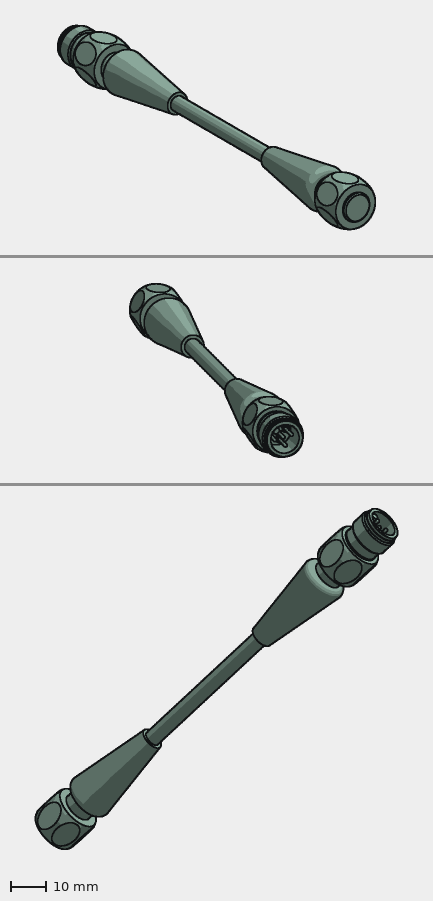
import cadquery as cq
import math

total_length = 145.6
nut_start = 10.2
nut_length = 10.8
neck_length = 3.5
grip_length = 29.0
socket_tip_length = 1.0

nut_flats = 14.0
nut_crown_radius = 7.7
nut_end_radius = 13.4 / 2
nut_rim_radius = 14.1 / 2
nut_chamfer_length = 0.9

neck_radius = 4.4
grip_large_radius = 7.1
grip_small_radius = 3.3
grip_round = 1.9
cable_radius = 2.3

sleeve_tip_radius = 10.5 / 2
sleeve_tip_end = 1.0
sleeve_ring_radius = 10.9 / 2
sleeve_ring_end = 1.9
thread_radius = 12.0 / 2
thread_end = 6.8
thread_chamfer = 0.5
relief_radius = 10.8 / 2
relief_end = 9.8
bore_radius = 8.3 / 2
bore_depth = 9.0

pin_radius = 1.0 / 2
pin_circle_radius = 2.5
pin_setback = 1.5
pin_tip_round = 0.3
pin_collar_radius = 2.0 / 2
pin_collar_height = 0.7
outer_pin_count = 4
first_pin_angle = 75

key_radius = 2.0 / 2
key_center_radius = 3.3
key_angle = 45
key_setback = 1.0

socket_chamfer = 0.5

nut_end = nut_start + nut_length
grip_start = nut_end + neck_length
grip_end = grip_start + grip_length
mid_x = (nut_start + total_length - socket_tip_length) / 2


def cylinder_x(start, end, radius, y=0.0, z=0.0):
    """Solid cylinder parallel to X between two X positions."""
    return cq.Workplane("YZ", origin=(start, y, z)).circle(radius).extrude(end - start)


def polar_yz(radius, angle):
    """Y and Z of a point at a radius and an angle in degrees from +Y towards +Z."""
    turn = math.radians(angle)
    return radius * math.cos(turn), radius * math.sin(turn)


def revolve_x(profile):
    """Revolve a closed profile, drawn with radius along Y, about the X axis."""
    return profile.close().revolve(360, (0, 0, 0), (1, 0, 0))


def coupling_nut():
    """Hexagon, flats up and down, trimmed by a barrel with a chamfer at each end."""
    corner_diameter = 2 * nut_flats / math.sqrt(3)
    hexagon = (
        cq.Workplane("YZ", origin=(nut_start, 0, 0))
        .polygon(6, corner_diameter)
        .extrude(nut_length)
    )
    barrel = revolve_x(
        cq.Workplane("XY")
        .moveTo(nut_start, 0)
        .lineTo(nut_start, nut_end_radius)
        .lineTo(nut_start + nut_chamfer_length, nut_rim_radius)
        .threePointArc(
            (nut_start + nut_length / 2, nut_crown_radius),
            (nut_end - nut_chamfer_length, nut_rim_radius),
        )
        .lineTo(nut_end, nut_end_radius)
        .lineTo(nut_end, 0)
    )
    return hexagon.intersect(barrel)


def grip():
    """Tapered grip with a rounded large end facing the nut."""
    cone = revolve_x(
        cq.Workplane("XY")
        .moveTo(grip_start, 0)
        .lineTo(grip_start, grip_large_radius)
        .lineTo(grip_end, grip_small_radius)
        .lineTo(grip_end, 0)
    )
    return cone.faces("<X").edges().fillet(grip_round)


def pin_sleeve():
    """Stepped threaded sleeve, bored from its open end."""
    thread = cylinder_x(sleeve_ring_end, thread_end, thread_radius)
    thread = thread.faces("<X or >X").edges().chamfer(thread_chamfer)
    sleeve = cylinder_x(0, sleeve_tip_end, sleeve_tip_radius)
    sleeve = sleeve.union(cylinder_x(sleeve_tip_end, sleeve_ring_end, sleeve_ring_radius))
    sleeve = sleeve.union(thread)
    sleeve = sleeve.union(cylinder_x(thread_end, relief_end, relief_radius))
    sleeve = sleeve.union(cylinder_x(relief_end, nut_start, sleeve_ring_radius))
    return sleeve.cut(cylinder_x(0, bore_depth, bore_radius))


def contact_pin(y, z):
    """Round-tipped pin with a collar at the bore floor."""
    pin = cylinder_x(pin_setback, nut_start, pin_radius, y, z)
    pin = pin.faces("<X").edges().fillet(pin_tip_round)
    return pin.union(cylinder_x(bore_depth - pin_collar_height, nut_start, pin_collar_radius, y, z))


def contacts():
    """One central pin and a circle of pins around it."""
    pins = contact_pin(0, 0)
    for index in range(outer_pin_count):
        angle = first_pin_angle + 360 * index / outer_pin_count
        y, z = polar_yz(pin_circle_radius, angle)
        pins = pins.union(contact_pin(y, z))
    return pins


def keying_rib():
    """Round rib along the bore, merging into the bore wall."""
    y, z = polar_yz(key_center_radius, key_angle)
    return cylinder_x(key_setback, nut_start, key_radius, y, z)


def socket_tip():
    """Short chamfered spigot beyond the socket nut."""
    tip = cylinder_x(total_length - socket_tip_length, total_length, neck_radius)
    return tip.faces(">X").edges().chamfer(socket_chamfer)


connector = coupling_nut().union(cylinder_x(nut_end, grip_start, neck_radius)).union(grip())
cable = cylinder_x(grip_end, 2 * mid_x - grip_end, cable_radius)

result = (
    connector.union(cable)
    .union(connector.mirror("YZ", (mid_x, 0, 0)))
    .union(pin_sleeve())
    .union(contacts())
    .union(keying_rib())
    .union(socket_tip())
)